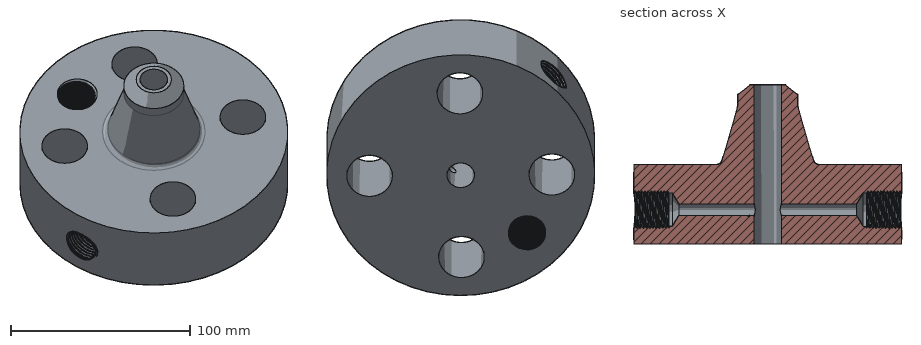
import cadquery as cq
import math

flange_diameter = 149.4
flange_thickness = 44.5
total_height = 88.9

neck_end_diameter = 33.5
neck_root_diameter = 52.5
neck_land_bottom = 77.5
neck_land_top = 83.5
weld_face_diameter = 19.5
neck_fillet_radius = 3.0
bore_diameter = 15.2

bolt_circle_diameter = 101.5
bolt_hole_diameter = 25.4
bolt_hole_count = 4
first_bolt_angle = 45.0

jack_major_diameter = 22.3
jack_minor_diameter = 19.1
jack_pitch = 2.8
jack_root_flat = 0.3
jack_groove_angle = 0.0

tap_height = 19.3
tap_major_diameter = 20.6
tap_minor_diameter = 18.4
tap_pitch = 1.8
tap_root_flat = 0.22
tap_groove_angle = 270.0
tap_thread_length = 19.7
tap_passage_diameter = 6.3
drill_tip_angle = 118.0

thread_flank_angle = 30.0
flank_points = 8


def thread_cutter(major_diameter, minor_diameter, pitch, root_flat, length, groove_angle):
    """Right-hand threaded rod around Z, running one pitch past the mouth at z = 0 and `length` deep.

    One cross-section is twisted along the axis. A length along the thread profile
    becomes an angle around the section, where one pitch is a full turn.
    """
    major_radius = major_diameter / 2
    minor_radius = minor_diameter / 2
    flank_run = (major_radius - minor_radius) * math.tan(math.radians(thread_flank_angle))
    root_edge = math.pi * root_flat / pitch
    crest_edge = root_edge + 2 * math.pi * flank_run / pitch

    def polar(radius, angle):
        return (radius * math.cos(angle), radius * math.sin(angle))

    def flank(start_radius, start_angle, end_radius, end_angle):
        shares = [step / flank_points for step in range(1, flank_points + 1)]
        return [
            polar(
                start_radius + share * (end_radius - start_radius),
                start_angle + share * (end_angle - start_angle),
            )
            for share in shares
        ]

    section = (
        cq.Workplane("XY")
        .moveTo(*polar(major_radius, -root_edge))
        .threePointArc((major_radius, 0), polar(major_radius, root_edge))
        .spline(flank(major_radius, root_edge, minor_radius, crest_edge), includeCurrent=True)
        .threePointArc((-minor_radius, 0), polar(minor_radius, -crest_edge))
        .spline(flank(minor_radius, -crest_edge, major_radius, -root_edge), includeCurrent=True)
        .close()
    )
    rod_length = length + pitch
    rod = section.twistExtrude(rod_length, 360 * rod_length / pitch)
    angle_at_mouth = 360 * length / pitch
    return rod.translate((0, 0, -length)).rotate((0, 0, 0), (0, 0, 1), groove_angle - angle_at_mouth)


def flange_body():
    """Disc and welding neck turned in one piece, with a fillet where they meet."""
    profile = [
        (0, 0),
        (flange_diameter / 2, 0),
        (flange_diameter / 2, flange_thickness),
        (neck_root_diameter / 2, flange_thickness),
        (neck_end_diameter / 2, neck_land_bottom),
        (neck_end_diameter / 2, neck_land_top),
        (weld_face_diameter / 2, total_height),
        (0, total_height),
    ]
    body = cq.Workplane("XZ").polyline(profile).close().revolve(360, (0, 0), (0, 1))
    neck_root = cq.selectors.RadiusNthSelector(-2)
    return body.edges("%CIRCLE").edges(neck_root).fillet(neck_fillet_radius)


def bolt_holes():
    return (
        cq.Workplane("XY")
        .polarArray(bolt_circle_diameter / 2, first_bolt_angle, 360, bolt_hole_count)
        .circle(bolt_hole_diameter / 2)
        .extrude(flange_thickness)
    )


def cut_jack_screw_hole(body):
    """Threaded through hole with its mouth countersunk to the major diameter."""
    position = (-bolt_circle_diameter / 2, 0, flange_thickness)
    thread = thread_cutter(
        jack_major_diameter,
        jack_minor_diameter,
        jack_pitch,
        jack_root_flat,
        flange_thickness + jack_pitch,
        jack_groove_angle,
    )
    countersink = cq.Solid.makeCone(
        jack_major_diameter / 2,
        jack_minor_diameter / 2,
        (jack_major_diameter - jack_minor_diameter) / 2,
        pnt=cq.Vector(*position),
        dir=cq.Vector(0, 0, -1),
    )
    return body.cut(thread.translate(position)).cut(cq.Workplane(countersink))


def cut_pressure_tap(body, turn):
    """Tap in the rim, ending on the flange axis; `turn` moves it around Z from the -Y side."""
    thread = thread_cutter(
        tap_major_diameter,
        tap_minor_diameter,
        tap_pitch,
        tap_root_flat,
        tap_thread_length,
        tap_groove_angle,
    )
    drill_radius = tap_minor_diameter / 2
    passage_radius = tap_passage_diameter / 2
    cone_start = tap_thread_length + tap_pitch
    cone_length = (drill_radius - passage_radius) / math.tan(math.radians(drill_tip_angle / 2))
    drill_profile = [
        (0, -tap_thread_length),
        (drill_radius, -tap_thread_length),
        (drill_radius, -cone_start),
        (passage_radius, -cone_start - cone_length),
        (passage_radius, -flange_diameter / 2),
        (0, -flange_diameter / 2),
    ]
    drill = cq.Workplane("XZ").polyline(drill_profile).close().revolve(360, (0, 0), (0, 1))
    for tool in (thread, drill):
        placed = tool.rotate((0, 0, 0), (1, 0, 0), 90).translate((0, -flange_diameter / 2, tap_height))
        body = body.cut(placed.rotate((0, 0, 0), (0, 0, 1), turn))
    return body


bore = cq.Workplane("XY").circle(bore_diameter / 2).extrude(total_height)

result = flange_body().cut(bore).cut(bolt_holes())
result = cut_jack_screw_hole(result)
for tap_turn in (0, 180):
    result = cut_pressure_tap(result, tap_turn)